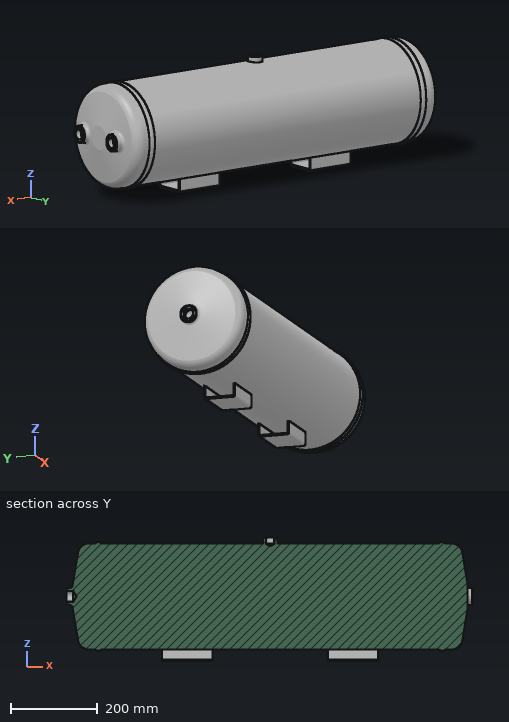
import cadquery as cq
import math

minus_x_face = -469.5
plus_x_face = 467.5
tank_radius = 246.0 / 2
top_height = 137.0
foot_depth = 149.0

end_boss_diameter = 40.0
end_hole_diameter = 24.12
end_pair_offset = 60.5
end_weld_radius = 8.0
top_boss_diameter = 35.0
top_hole_diameter = 18.63
boss_chamfer = 2.0
root_search_depth = 20.0
hole_depth = 15.0
drill_tip_angle = 118.0

knuckle_start = 417.8
knuckle_radius = 26.5
crown_rim_radius = 106.0
crown_rise = 13.0
crown_flat_radius = 28.5

bead_outer_end = 404.0
bead_inner_end = 388.0
bead_radius = 252.0 / 2

foot_length = 117.0
foot_offset = 191.0
foot_width = 76.0
foot_thickness = 4.0
foot_bend_radius = 6.0

knuckle_centre_radius = tank_radius - knuckle_radius
rim_angle = math.asin((crown_rim_radius - knuckle_centre_radius) / knuckle_radius)
crown_rim_x = knuckle_start + knuckle_radius * math.cos(rim_angle)
crown_flat_x = crown_rim_x + crown_rise


def make_tank():
    """Solid of revolution about X: shell, beads and both heads."""
    knuckle_middle_angle = (rim_angle + math.pi / 2) / 2
    knuckle_middle_x = knuckle_start + knuckle_radius * math.cos(knuckle_middle_angle)
    knuckle_middle_radius = knuckle_centre_radius + knuckle_radius * math.sin(knuckle_middle_angle)
    bead_middle = (bead_outer_end + bead_inner_end) / 2
    return (
        cq.Workplane("XZ")
        .moveTo(-crown_flat_x, 0)
        .lineTo(-crown_flat_x, crown_flat_radius)
        .lineTo(-crown_rim_x, crown_rim_radius)
        .threePointArc((-knuckle_middle_x, knuckle_middle_radius), (-knuckle_start, tank_radius))
        .lineTo(-bead_outer_end, tank_radius)
        .threePointArc((-bead_middle, bead_radius), (-bead_inner_end, tank_radius))
        .lineTo(bead_inner_end, tank_radius)
        .threePointArc((bead_middle, bead_radius), (bead_outer_end, tank_radius))
        .lineTo(knuckle_start, tank_radius)
        .threePointArc((knuckle_middle_x, knuckle_middle_radius), (crown_rim_x, crown_rim_radius))
        .lineTo(crown_flat_x, crown_flat_radius)
        .lineTo(crown_flat_x, 0)
        .close()
        .revolve(360, (0, 0, 0), (1, 0, 0))
    )


def make_foot(x_centre):
    """Upward-opening channel whose legs run into the shell."""
    leg_y = foot_width / 2
    leg_top = -math.sqrt(tank_radius**2 - leg_y**2) + foot_thickness
    height = foot_depth + leg_top
    inner_width = foot_width - 2 * foot_thickness
    z_centre = leg_top - height / 2
    outer = (
        cq.Workplane("XY")
        .box(foot_length, foot_width, height)
        .edges("|X and <Z")
        .fillet(foot_bend_radius)
    )
    inner = (
        cq.Workplane("XY")
        .box(foot_length, inner_width, height)
        .edges("|X and <Z")
        .fillet(foot_bend_radius - foot_thickness)
        .translate((0, 0, foot_thickness))
    )
    return outer.cut(inner).translate((x_centre, 0, z_centre))


def make_boss(face_centre, outward, diameter, length):
    """Cylinder from its outer face back into the tank."""
    return cq.Workplane(cq.Solid.makeCylinder(diameter / 2, length, face_centre, outward * -1))


def boss_root(face_centre, outward):
    """Selector for edges centred on the boss axis, between the boss face and the crown behind it."""
    sideways = cq.Vector(0, 1, 1) * (end_boss_diameter / 2)
    near = face_centre - outward * boss_chamfer + sideways
    far = face_centre - outward * root_search_depth - sideways
    return cq.selectors.BoxSelector(near.toTuple(), far.toTuple())


def make_hole(face_centre, outward, diameter):
    """Blind drilled hole with a conical tip."""
    inward = outward * -1
    radius = diameter / 2
    tip_length = radius / math.tan(math.radians(drill_tip_angle / 2))
    bore = cq.Solid.makeCylinder(radius, hole_depth, face_centre, inward)
    tip = cq.Solid.makeCone(radius, 0, tip_length, face_centre + inward * hole_depth, inward)
    return cq.Workplane(bore).union(cq.Workplane(tip))


plus_x = cq.Vector(1, 0, 0)
minus_x = cq.Vector(-1, 0, 0)
plus_z = cq.Vector(0, 0, 1)

end_bosses = [
    (cq.Vector(minus_x_face, 0, 0), minus_x),
    (cq.Vector(plus_x_face, -end_pair_offset, 0), plus_x),
    (cq.Vector(plus_x_face, end_pair_offset, 0), plus_x),
]
end_boss_length = plus_x_face - knuckle_start
top_face_centre = cq.Vector(0, 0, top_height)
top_boss_length = top_height - tank_radius + top_boss_diameter / 2

result = make_tank()

for face_centre, outward in end_bosses:
    result = result.union(make_boss(face_centre, outward, end_boss_diameter, end_boss_length))

for face_centre, outward in end_bosses:
    root = result.edges(boss_root(face_centre, outward))
    if outward == minus_x:
        root = root.edges(cq.selectors.RadiusNthSelector(0))
    result = root.fillet(end_weld_radius)

result = result.faces("<X or >X").edges().chamfer(boss_chamfer)

top_boss = make_boss(top_face_centre, plus_z, top_boss_diameter, top_boss_length)
result = result.union(top_boss.faces(">Z").chamfer(boss_chamfer))

for face_centre, outward in end_bosses:
    result = result.cut(make_hole(face_centre, outward, end_hole_diameter))
result = result.cut(make_hole(top_face_centre, plus_z, top_hole_diameter))

for x_centre in (-foot_offset, foot_offset):
    result = result.union(make_foot(x_centre))